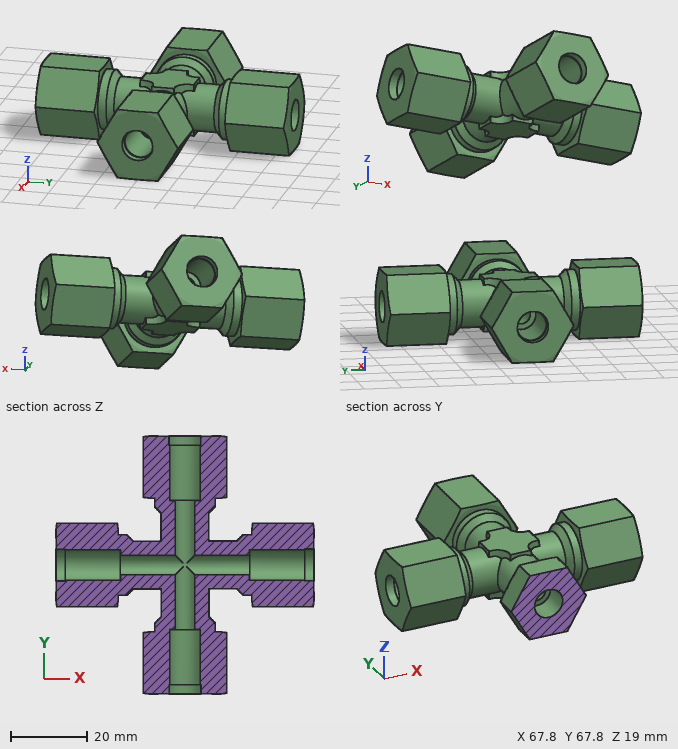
import cadquery as cq
import math

ARM_REACH = 33.9

NUT_ACROSS_FLATS = 19.0
NUT_LENGTH = 16.4
NUT_CHAMFER_ANGLE = 10.0

TUBE_RADIUS = 6.3
COLLAR_RADIUS = 8.0
COLLAR_LENGTH = 2.25

PASSAGE_DIAMETER = 5.0
SOCKET_DIAMETER = 8.0
SOCKET_DEPTH = 16.95
MOUTH_DIAMETER = 8.3
MOUTH_DEPTH = 2.45

PAD_TOP = 7.1
PAD_REACH = 7.25
PAD_HALF_WIDTH = 3.0
PAD_DRAFT = 7.0
PAD_DEPTH = PAD_TOP / 2

nut_start = ARM_REACH - NUT_LENGTH
ARM_ANGLES = (0, 90, 180, 270)


def hexagonal_nut():
    """Nut along +X, flats facing +Z and -Z, corners chamfered at both ends."""
    flat_radius = NUT_ACROSS_FLATS / 2
    corner_radius = flat_radius / math.cos(math.pi / 6)
    chamfer_depth = (corner_radius - flat_radius) * math.tan(math.radians(NUT_CHAMFER_ANGLE))
    prism = (
        cq.Workplane("YZ", origin=(nut_start, 0, 0))
        .polygon(6, 2 * corner_radius)
        .extrude(NUT_LENGTH)
    )
    turned_envelope = (
        cq.Workplane("XY")
        .moveTo(nut_start, 0)
        .lineTo(nut_start, flat_radius)
        .lineTo(nut_start + chamfer_depth, corner_radius)
        .lineTo(ARM_REACH - chamfer_depth, corner_radius)
        .lineTo(ARM_REACH, flat_radius)
        .lineTo(ARM_REACH, 0)
        .close()
        .revolve(360, (0, 0, 0), (1, 0, 0))
    )
    return prism.intersect(turned_envelope)


def body_arm():
    """Tube along +X from the centre, widening to the collar behind the nut."""
    collar_start = nut_start - COLLAR_LENGTH
    taper_start = collar_start - (COLLAR_RADIUS - TUBE_RADIUS)
    return (
        cq.Workplane("XY")
        .lineTo(0, TUBE_RADIUS)
        .lineTo(taper_start, TUBE_RADIUS)
        .lineTo(collar_start, COLLAR_RADIUS)
        .lineTo(nut_start, COLLAR_RADIUS)
        .lineTo(nut_start, 0)
        .close()
        .revolve(360, (0, 0, 0), (1, 0, 0))
    )


def hole(diameter, start):
    """Round cutter along +X from the given distance out to the arm's end."""
    return (
        cq.Workplane("YZ", origin=(start, 0, 0))
        .circle(diameter / 2)
        .extrude(ARM_REACH - start)
    )


def stepped_bore():
    """Cutter for one arm: passage, tube socket and wider mouth."""
    passage = hole(PASSAGE_DIAMETER, 0)
    socket = hole(SOCKET_DIAMETER, ARM_REACH - SOCKET_DEPTH)
    mouth = hole(MOUTH_DIAMETER, ARM_REACH - MOUTH_DEPTH)
    return passage.union(socket).union(mouth)


def turned(x, y, angle):
    """Point turned about the origin by an angle in degrees."""
    cosine = math.cos(math.radians(angle))
    sine = math.sin(math.radians(angle))
    return (x * cosine - y * sine, x * sine + y * cosine)


def cross_pad():
    """Upper pad with rounded inner corners, drafted wider towards the centre plane."""
    notch_centre = TUBE_RADIUS
    notch_radius = notch_centre - PAD_HALF_WIDTH
    notch_middle = notch_centre - notch_radius * math.sqrt(0.5)
    outline = cq.Workplane("XY", origin=(0, 0, PAD_TOP)).moveTo(PAD_REACH, -PAD_HALF_WIDTH)
    for angle in ARM_ANGLES:
        outline = (
            outline.lineTo(*turned(PAD_REACH, PAD_HALF_WIDTH, angle))
            .lineTo(*turned(notch_centre, PAD_HALF_WIDTH, angle))
            .threePointArc(
                turned(notch_middle, notch_middle, angle),
                turned(PAD_HALF_WIDTH, notch_centre, angle),
            )
            .lineTo(*turned(PAD_HALF_WIDTH, PAD_REACH, angle))
        )
    return outline.close().extrude(-PAD_DEPTH, taper=-PAD_DRAFT)


def on_every_arm(shape):
    """Union of the shape turned about Z onto all four arms."""
    combined = shape
    for angle in ARM_ANGLES[1:]:
        combined = combined.union(shape.rotate((0, 0, 0), (0, 0, 1), angle))
    return combined


upper_pad = cross_pad()
lower_pad = upper_pad.mirror("XY")

result = (
    on_every_arm(body_arm().union(hexagonal_nut()))
    .union(upper_pad)
    .union(lower_pad)
    .cut(on_every_arm(stepped_bore()))
)